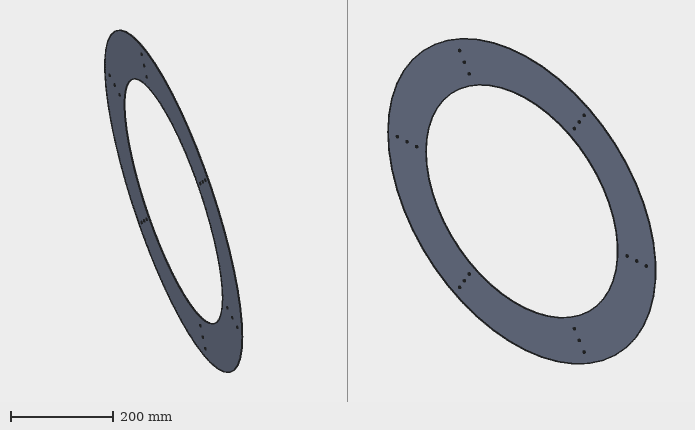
import cadquery as cq

outer_diameter = 704.0
inner_diameter = 504.0
thickness = 2.0

hole_diameter = 5.0
hole_spacing = 25.0
holes_per_row = 3
row_count = 6
middle_radius = (outer_diameter + inner_diameter) / 4


def make_ring():
    """Ring centred on the origin, with its axis along Y."""
    return (
        cq.Workplane("XZ")
        .circle(outer_diameter / 2)
        .circle(inner_diameter / 2)
        .extrude(thickness / 2, both=True)
    )


def drill_hole_circle(body, radius):
    """Drill one hole of every row, all at the same radius."""
    holes = (
        cq.Workplane("XZ")
        .polarArray(radius, 0, 360, row_count)
        .circle(hole_diameter / 2)
        .extrude(thickness, both=True)
    )
    return body.cut(holes)


result = make_ring()
for index in range(holes_per_row):
    offset = (index - (holes_per_row - 1) / 2) * hole_spacing
    result = drill_hole_circle(result, middle_radius + offset)